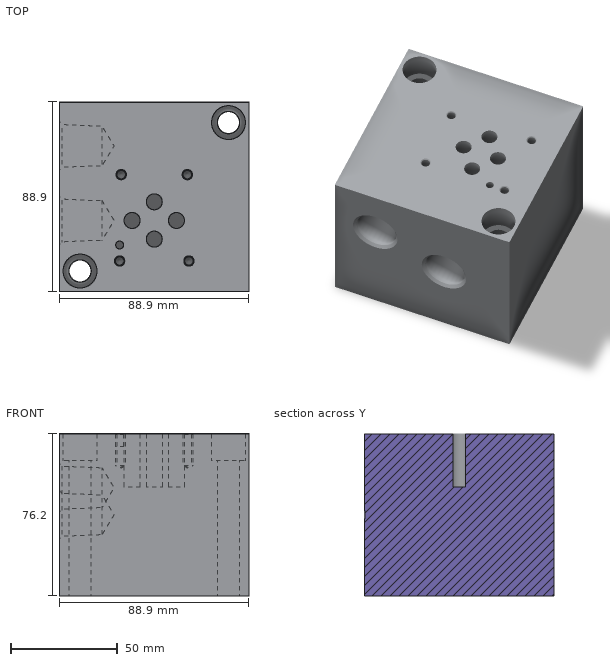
import cadquery as cq
import math

BLOCK_SIDE = 88.9
BLOCK_HEIGHT = 76.2

MOUNT_OFFSET = 34.8
MOUNT_DIAMETER = 10.31
MOUNT_COUNTERBORE_DIAMETER = 15.88
MOUNT_COUNTERBORE_DEPTH = 12.7

VALVE_CENTER_X = 0.0
VALVE_BACK_Y = 10.4
BOLT_ROW_SPACING = 40.5
BACK_BOLT_SPACING = 31.0
FRONT_BOLT_SPACING = 32.5
BOLT_DRILL_DIAMETER = 4.01
BOLT_MOUTH_DIAMETER = 4.83
BOLT_CHAMFER_DEPTH = (BOLT_MOUTH_DIAMETER - BOLT_DRILL_DIAMETER) / 2
BOLT_DEPTH = 15.0

PASSAGE_DIAMETER = 7.49
PASSAGE_DEPTH = 25.0
PASSAGE_SETBACK = 21.5
PASSAGE_CENTER_Y = VALVE_BACK_Y - PASSAGE_SETBACK
PASSAGE_HALF_WIDTH = 10.4
PASSAGE_HALF_LENGTH = 8.75

PIN_DIAMETER = 3.68
PIN_DEPTH = 6.0
PIN_SETBACK = 33.0
PIN_Y = VALVE_BACK_Y - PIN_SETBACK

PORT_CENTERS = [(23.85, 50.8), (PASSAGE_CENTER_Y, 38.1)]
PORT_MOUTH_DIAMETER = 22.6
PORT_THREAD_DIAMETER = 20.1
PORT_END_DIAMETER = 18.59
PORT_CHAMFER_DEPTH = (PORT_MOUTH_DIAMETER - PORT_THREAD_DIAMETER) / 2
PORT_DEPTH = 20.0

DRILL_POINT_ANGLE = 118.0


def drilled_hole(mouth_diameter, start_diameter, end_diameter, chamfer_depth, depth):
    """Chamfered blind hole with a drill point, running down -Z from the origin."""
    end_radius = end_diameter / 2
    point_length = end_radius / math.tan(math.radians(DRILL_POINT_ANGLE / 2))
    return (
        cq.Workplane("XZ")
        .moveTo(0, 0)
        .lineTo(mouth_diameter / 2, 0)
        .lineTo(start_diameter / 2, -chamfer_depth)
        .lineTo(end_radius, -depth)
        .lineTo(0, -depth - point_length)
        .close()
        .revolve(360, (0, 0, 0), (0, 1, 0))
    )


def cut_flat_holes(body, centers, diameter, depth):
    """Cut flat-bottomed holes into the top face."""
    holes = (
        cq.Workplane("XY", origin=(0, 0, BLOCK_HEIGHT))
        .pushPoints(centers)
        .circle(diameter / 2)
        .extrude(-depth)
    )
    return body.cut(holes)


def cut_mounting_holes(body):
    """Counterbored through holes on the block diagonal."""
    centers = [(side * MOUNT_OFFSET, side * MOUNT_OFFSET) for side in (-1, 1)]
    body = cut_flat_holes(body, centers, MOUNT_DIAMETER, BLOCK_HEIGHT)
    return cut_flat_holes(body, centers, MOUNT_COUNTERBORE_DIAMETER, MOUNT_COUNTERBORE_DEPTH)


def cut_valve_bolts(body):
    """Four chamfered bolt holes; the front pair is set slightly wider."""
    hole = drilled_hole(
        BOLT_MOUTH_DIAMETER, BOLT_DRILL_DIAMETER, BOLT_DRILL_DIAMETER, BOLT_CHAMFER_DEPTH, BOLT_DEPTH
    )
    rows = [
        (VALVE_BACK_Y, BACK_BOLT_SPACING),
        (VALVE_BACK_Y - BOLT_ROW_SPACING, FRONT_BOLT_SPACING),
    ]
    for y, spacing in rows:
        for side in (-1, 1):
            x = VALVE_CENTER_X + side * spacing / 2
            body = body.cut(hole.translate((x, y, BLOCK_HEIGHT)))
    return body


def cut_passages(body):
    """Diamond of four flow passages and the locating pin hole."""
    centers = []
    for side in (-1, 1):
        centers.append((VALVE_CENTER_X + side * PASSAGE_HALF_WIDTH, PASSAGE_CENTER_Y))
        centers.append((VALVE_CENTER_X, PASSAGE_CENTER_Y + side * PASSAGE_HALF_LENGTH))
    body = cut_flat_holes(body, centers, PASSAGE_DIAMETER, PASSAGE_DEPTH)
    pin_center = (VALVE_CENTER_X - FRONT_BOLT_SPACING / 2, PIN_Y)
    return cut_flat_holes(body, [pin_center], PIN_DIAMETER, PIN_DEPTH)


def cut_ports(body):
    """Tapered ports running inward from the -X face."""
    port = drilled_hole(
        PORT_MOUTH_DIAMETER, PORT_THREAD_DIAMETER, PORT_END_DIAMETER, PORT_CHAMFER_DEPTH, PORT_DEPTH
    ).rotate((0, 0, 0), (0, 1, 0), -90)
    for y, z in PORT_CENTERS:
        body = body.cut(port.translate((-BLOCK_SIDE / 2, y, z)))
    return body


block = cq.Workplane("XY").box(BLOCK_SIDE, BLOCK_SIDE, BLOCK_HEIGHT, centered=(True, True, False))
block = cut_mounting_holes(block)
block = cut_valve_bolts(block)
block = cut_passages(block)
result = cut_ports(block)